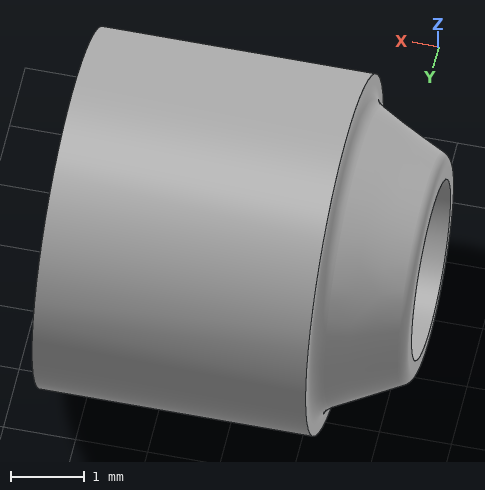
import cadquery as cq

length = 5.0
body_diameter = 5.0
bore_diameter = 2.5
nose_length = 1.2
nose_tip_diameter = 3.11
nose_root_diameter = 4.32
tip_fillet = 0.2
root_fillet = 0.3
edge_margin = 0.05

body_radius = body_diameter / 2
tip_radius = nose_tip_diameter / 2
root_radius = nose_root_diameter / 2
nose_start = -length / 2
shoulder = nose_start + nose_length
body_end = length / 2


def make_sleeve():
    """Revolve the solid outline about X: tapered nose, shoulder and cylinder."""
    return (
        cq.Workplane("XY")
        .moveTo(nose_start, 0)
        .lineTo(nose_start, tip_radius)
        .lineTo(shoulder, root_radius)
        .lineTo(shoulder, body_radius)
        .lineTo(body_end, body_radius)
        .lineTo(body_end, 0)
        .close()
        .revolve(360, (0, 0, 0), (1, 0, 0))
    )


def round_nose(sleeve):
    """Round the outer tip edge and the corner where the nose meets the shoulder."""
    sleeve = sleeve.faces("<X").edges().fillet(tip_fillet)
    reach = root_radius + edge_margin
    root_box = cq.selectors.BoxSelector(
        (shoulder - edge_margin, -reach, -reach),
        (shoulder + edge_margin, reach, reach),
        boundingbox=True,
    )
    return sleeve.edges(root_box).fillet(root_fillet)


def cut_bore(sleeve):
    """Cut the through bore along the sleeve axis."""
    bore = cq.Workplane("YZ", origin=(nose_start, 0, 0)).circle(bore_diameter / 2).extrude(length)
    return sleeve.cut(bore)


result = cut_bore(round_nose(make_sleeve()))